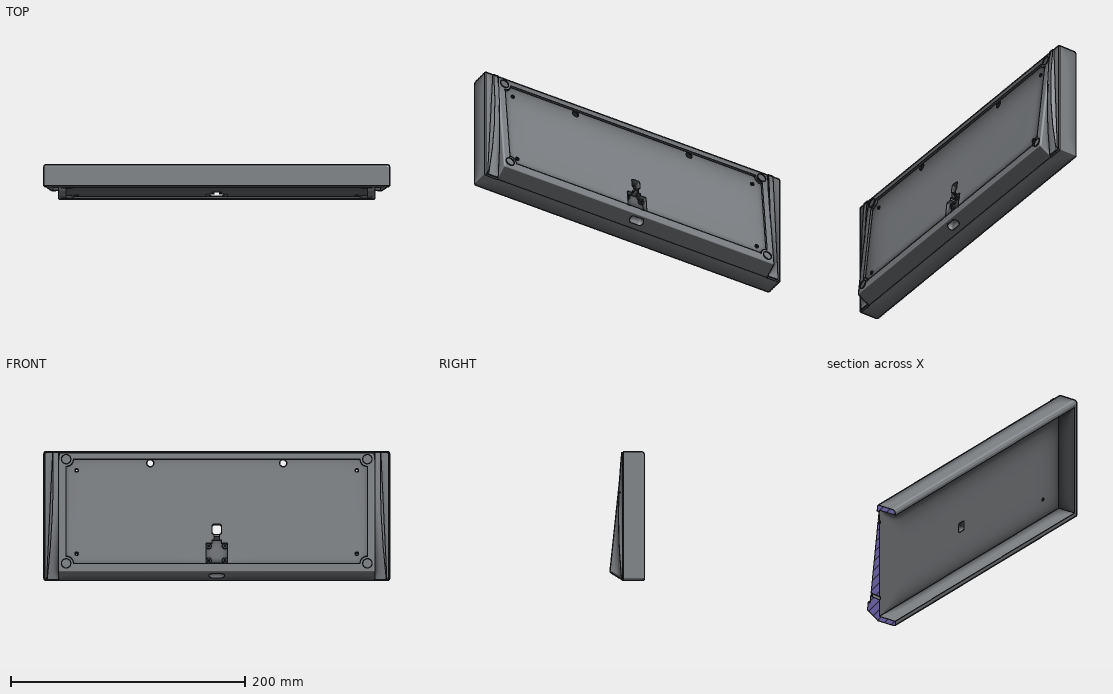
import cadquery as cq
import math


length = 295.7
height = 110.2
slab_depth = 18.9
corner_radius = 2.0
rim_radius = 1.9
upper_rim_radius = 3.0
slab_chamfer = 1.0
wall = 5.0
cavity_depth = 16.6

tilt = 6.0
wedge_width = 270.6
wedge_depth = 24.73
wedge_edge_radius = 1.7
bevel_angle = 32.0
bevel_start_depth = 18.4

shoulder_end_depth = 19.7
shoulder_mid_depth = 22.3
shoulder_half_top = 140.2
shoulder_half_bottom = 145.4
shoulder_slope = 33.0

panel_width = 257.4
panel_top = 48.9
panel_bottom = -40.6
panel_recess = 2.0
foot_diameter = 8.0
foot_recess = 0.5
foot_clear_radius = 6.2

screw_x = 119.8
screw_rows = (39.5, -32.0)
screw_diameter = 2.46
screw_head_diameter = 3.0
screw_head_depth = 1.0
vent_x = 56.8
vent_row = 45.7
vent_diameter = 6.0

opening_width = 8.0
opening_top = -6.7
opening_bottom = -15.5
opening_radius = 1.8
ramp_width = 4.5
ramp_top = -17.3
ramp_start_depth = 1.2
pocket_width = 18.7
pocket_top = -22.8
pocket_bottom = -40.0
pocket_depth = 5.5
pocket_radius = 1.2
notch_top = -20.4
post_diameter = 4.6
post_height = 2.0
post_inset = 2.4
post_hole_diameter = 1.57
post_hole_depth = 3.0

slot_width = 13.4
slot_height = 5.9
slot_below_panel = 3.1
slot_length = 20.0

tilt_slope = math.tan(math.radians(tilt))
tilt_cos = math.cos(math.radians(tilt))
tilt_sin = math.sin(math.radians(tilt))
bevel_slope = math.tan(math.radians(bevel_angle))
panel_normal = cq.Vector(0, -tilt_cos, tilt_sin)
half_height = height / 2
margin = 10.0
through_depth = 14.0


def tilted_plane(below=0.0):
    """Plane parallel to the wedge face, sunk below it; its Y axis runs up the face."""
    origin = (0, -wedge_depth + below * tilt_cos, -below * tilt_sin)
    return cq.Workplane(cq.Plane(origin=origin, xDir=(1, 0, 0), normal=(0, -tilt_cos, tilt_sin)))


def side_profile(width):
    """Workplane for (depth, Z) outlines; extruding by the width centres them on X = 0."""
    return cq.Workplane(cq.Plane(origin=(width / 2, 0, 0), xDir=(0, -1, 0), normal=(-1, 0, 0)))


def rect_between(plane, width, bottom, top):
    return plane.center(0, (bottom + top) / 2).rect(width, top - bottom)


def make_slab():
    slab = cq.Workplane("XZ").rect(length, height).extrude(slab_depth)
    slab = slab.faces(">Y").edges(">Z").fillet(upper_rim_radius)
    slab = slab.edges("|Y").fillet(corner_radius)
    slab = slab.faces(">Y").edges("not >Z").fillet(rim_radius)
    return slab.faces("<Y").edges().chamfer(slab_chamfer)


def make_wedge():
    top_depth = wedge_depth - half_height * tilt_slope
    chamfer_start = slab_depth - slab_chamfer
    chamfer = (top_depth - chamfer_start) / (1 - tilt_slope)
    tip_z = (-half_height + (wedge_depth - bevel_start_depth) * bevel_slope) / (1 + tilt_slope * bevel_slope)
    tip_depth = wedge_depth - tip_z * tilt_slope
    outline = [
        (cavity_depth, half_height),
        (chamfer_start, half_height),
        (chamfer_start + chamfer, half_height - chamfer),
        (tip_depth, tip_z),
        (bevel_start_depth, -half_height),
        (cavity_depth, -half_height),
    ]
    wedge = side_profile(wedge_width).polyline(outline).close().extrude(wedge_width)
    tip_edge = wedge.edges("<Y")
    side_edges = wedge.edges("not (|X or |Y or |Z)")
    return side_edges.add(tip_edge).fillet(wedge_edge_radius)


def make_shoulders():
    """Arch along Z, trimmed by leaning flanks that spread toward the lower side."""
    width = 2 * (shoulder_half_bottom + margin)
    end_z = half_height - slab_chamfer
    arch = (
        side_profile(width)
        .moveTo(cavity_depth, end_z)
        .lineTo(shoulder_end_depth, end_z)
        .threePointArc((shoulder_mid_depth, 0), (shoulder_end_depth, -end_z))
        .lineTo(cavity_depth, -end_z)
        .close()
        .extrude(width)
    )
    spread = (shoulder_half_bottom - shoulder_half_top) * margin / height
    top_half = shoulder_half_top - spread
    bottom_half = shoulder_half_bottom + spread
    reach = half_height + margin
    flanks = (
        cq.Workplane("XZ", origin=(0, -slab_depth, 0))
        .polyline([(-top_half, reach), (top_half, reach), (bottom_half, -reach), (-bottom_half, -reach)])
        .close()
        .extrude(margin, taper=shoulder_slope)
    )
    between = cq.Workplane("XZ").rect(wedge_width, height).extrude(2 * slab_depth)
    return arch.intersect(flanks).cut(between)


def foot_points():
    half_width = panel_width / 2
    return [(x, v) for x in (-half_width, half_width) for v in (panel_bottom, panel_top)]


def make_panel_recess():
    panel = rect_between(tilted_plane(), panel_width, panel_bottom, panel_top).extrude(-panel_recess)
    corners = tilted_plane().pushPoints(foot_points()).circle(foot_clear_radius).extrude(-panel_recess)
    return panel.cut(corners)


def make_foot_recesses():
    return tilted_plane().pushPoints(foot_points()).circle(foot_diameter / 2).extrude(-foot_recess)


def make_panel_holes():
    """Screw holes with counterbores and two vents, square to the panel and open to the cavity."""
    screw_points = [(x, v) for x in (-screw_x, screw_x) for v in screw_rows]
    vent_points = [(-vent_x, vent_row), (vent_x, vent_row)]
    panel = tilted_plane(panel_recess)
    screws = panel.pushPoints(screw_points).circle(screw_diameter / 2).extrude(-through_depth)
    heads = panel.pushPoints(screw_points).circle(screw_head_diameter / 2).extrude(-screw_head_depth)
    vents = panel.pushPoints(vent_points).circle(vent_diameter / 2).extrude(-through_depth)
    return screws.union(heads).union(vents)


def make_cable_way():
    """Opening into the cavity and the ramp that descends from it to the socket pocket."""
    panel = tilted_plane(panel_recess)
    opening = rect_between(panel, opening_width, opening_bottom, opening_top).extrude(-through_depth)
    opening = opening.edges(cq.selectors.ParallelDirSelector(panel_normal)).fillet(opening_radius)
    ramp_outline = [
        (0, opening_bottom + opening_radius),
        (ramp_start_depth, opening_bottom + opening_radius),
        (ramp_start_depth, ramp_top),
        (pocket_depth, notch_top),
        (0, notch_top),
    ]
    start = panel.plane.toWorldCoords((-ramp_width / 2, 0, 0))
    ramp_plane = cq.Plane(origin=start, xDir=-panel_normal, normal=(1, 0, 0))
    ramp = cq.Workplane(ramp_plane).polyline(ramp_outline).close().extrude(ramp_width)
    return opening.union(ramp)


def make_socket_pocket():
    """Pocket with a notch toward the ramp; a drilled post stays standing in each corner."""
    panel = tilted_plane(panel_recess)
    pocket = rect_between(panel, pocket_width, pocket_bottom, pocket_top).extrude(-pocket_depth)
    pocket = pocket.edges(cq.selectors.ParallelDirSelector(panel_normal)).fillet(pocket_radius)
    notch = rect_between(panel, opening_width, pocket_top - pocket_radius, notch_top).extrude(-pocket_depth)
    post_x = pocket_width / 2 - post_inset
    post_points = [
        (x, v)
        for x in (-post_x, post_x)
        for v in (pocket_bottom + post_inset, pocket_top - post_inset)
    ]
    floor = tilted_plane(panel_recess + pocket_depth)
    post_top = tilted_plane(panel_recess + pocket_depth - post_height)
    posts = floor.pushPoints(post_points).circle(post_diameter / 2).extrude(post_height)
    holes = post_top.pushPoints(post_points).circle(post_hole_diameter / 2).extrude(-post_hole_depth)
    return pocket.union(notch).cut(posts).union(holes)


def make_socket_slot():
    """Rounded slot parallel to the panel, from the pocket out through the lower bevel."""
    axis_below = panel_recess + slot_below_panel
    start = tilted_plane(axis_below).plane.toWorldCoords((0, pocket_bottom, 0))
    down_face = cq.Vector(0, -tilt_sin, -tilt_cos)
    plane = cq.Plane(origin=start, xDir=(1, 0, 0), normal=down_face)
    return cq.Workplane(plane).slot2D(slot_width, slot_height).extrude(slot_length)


def make_cavity():
    width = length - 2 * wall
    return cq.Workplane("XZ").rect(width, height - 2 * wall).extrude(cavity_depth)


result = (
    make_slab()
    .union(make_shoulders())
    .union(make_wedge())
    .cut(make_cavity())
    .cut(make_panel_recess())
    .cut(make_foot_recesses())
    .cut(make_panel_holes())
    .cut(make_cable_way())
    .cut(make_socket_pocket())
    .cut(make_socket_slot())
)